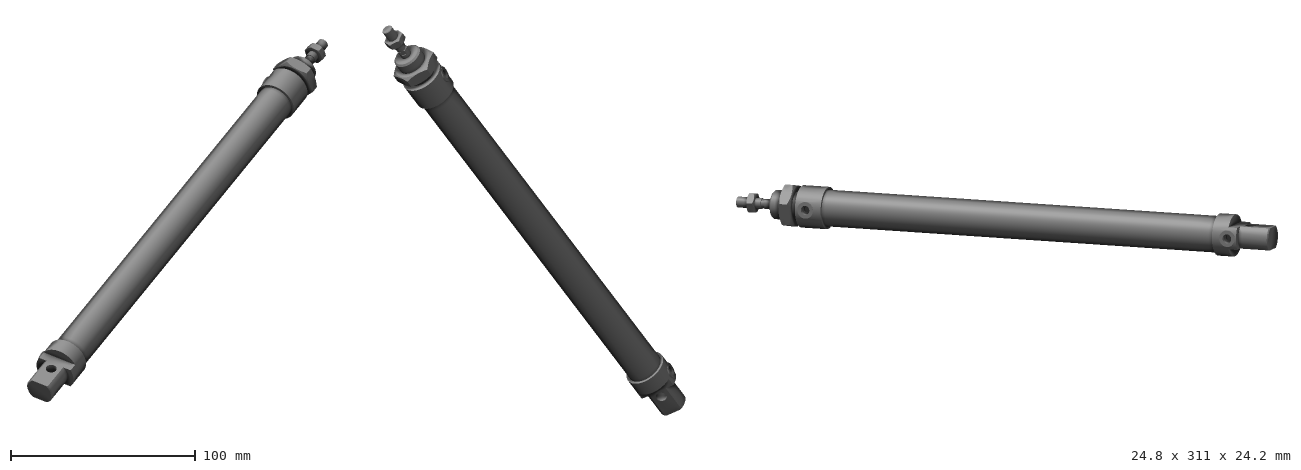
import cadquery as cq
import math

total_length = 311.0

barrel_diameter = 20.0
cap_diameter = 23.0
rear_cap_front = 31.0
front_cap_rear = 258.5
front_cap_front = 273.5

neck_diameter = 16.0
neck_front = 290.0
neck_chamfer = 1.0

tongue_thickness = 12.0
shoulder_rear = 17.0
step_front = 22.0
clevis_hole_diameter = 6.0
clevis_hole_y = 13.0
tongue_chamfer = 0.5

port_positions = (22.5, 267.5)
port_boss_diameter = 9.0
port_face_x = cap_diameter / 2
port_diameter = 5.0
port_depth = 3.7
port_bore_diameter = 4.5
port_bore_depth = 5.5

rod_diameter = 6.0
rod_inner_end = front_cap_rear
rod_tip_chamfer = 0.3
undercut_diameter = 5.0
undercut_front = 296.7
undercut_rear = 294.8
flats_rear = 292.3
flats_width = 5.0

mounting_nut_width = 22.0
mounting_nut_rear = 276.5
mounting_nut_thickness = 6.8
mounting_nut_turn = -12.3
mounting_nut_face_diameter = 21.0
rod_nut_width = 10.0
rod_nut_rear = 300.0
rod_nut_thickness = 4.0
rod_nut_turn = -6.0
rod_nut_face_diameter = 10.0

HALF_FACE_ANGLE = 30.0
BEVEL_ANGLE = 30.0


def cylinder(diameter, rear, front):
    """Solid cylinder on the Y axis between two Y positions."""
    return cq.Workplane("XZ", origin=(0, rear, 0)).circle(diameter / 2).extrude(rear - front)


def flats_cutter(width, rear, front):
    """Two blocks that leave material only within +/- width / 2 in Z."""
    length = front - rear
    middle = (rear + front) / 2
    clearance_width = 2 * cap_diameter
    envelope = cq.Workplane("XY").box(clearance_width, length, clearance_width)
    kept = cq.Workplane("XY").box(clearance_width, length, width)
    return envelope.cut(kept).translate((0, middle, 0))


def port_cylinder(diameter, y, depth):
    """Cylinder along X, from the port face inward to the given depth."""
    return cq.Workplane("YZ", origin=(-port_face_x, y, 0)).circle(diameter / 2).extrude(depth)


def add_port(housing, y):
    """Flat round boss on the -X side of a cap, with a port and a narrower bore."""
    with_boss = housing.union(port_cylinder(port_boss_diameter, y, port_depth))
    with_port = with_boss.cut(port_cylinder(port_diameter, y, port_depth))
    return with_port.cut(port_cylinder(port_bore_diameter, y, port_bore_depth))


def make_housing():
    """Barrel with both caps, the front neck and the rear clevis tongue."""
    tongue = cylinder(neck_diameter, 0, step_front).faces("<Y").chamfer(tongue_chamfer)
    neck = cylinder(neck_diameter, front_cap_front, neck_front).faces(">Y").chamfer(neck_chamfer)
    housing = (
        cylinder(barrel_diameter, rear_cap_front, front_cap_rear)
        .union(cylinder(cap_diameter, shoulder_rear, rear_cap_front))
        .union(cylinder(cap_diameter, front_cap_rear, front_cap_front))
        .union(tongue)
        .union(neck)
    )
    housing = housing.cut(flats_cutter(tongue_thickness, 0, step_front))
    clevis_hole = (
        cq.Workplane("XY")
        .center(0, clevis_hole_y)
        .circle(clevis_hole_diameter / 2)
        .extrude(tongue_thickness, both=True)
    )
    housing = housing.cut(clevis_hole)
    for y in port_positions:
        housing = add_port(housing, y)
    return housing.cut(cylinder(rod_diameter, rod_inner_end, neck_front))


def make_rod():
    """Piston rod with wrench flats, a thread undercut and a plain cylindrical tip."""
    rod = cylinder(rod_diameter, rod_inner_end, total_length).faces(">Y").chamfer(rod_tip_chamfer)
    undercut = cylinder(rod_diameter, undercut_rear, undercut_front).cut(
        cylinder(undercut_diameter, undercut_rear, undercut_front)
    )
    return rod.cut(undercut).cut(flats_cutter(flats_width, flats_rear, undercut_rear))


def make_nut(width, thickness, rear, turn, bore_diameter, face_diameter):
    """Hexagon nut on the Y axis with both faces bevelled at the corners."""
    corner_diameter = width / math.cos(math.radians(HALF_FACE_ANGLE))
    corner_radius = corner_diameter / 2
    face_radius = face_diameter / 2
    bevel = (corner_radius - face_radius) * math.tan(math.radians(BEVEL_ANGLE))
    front = rear + thickness
    hexagon = cq.Workplane("XZ", origin=(0, rear, 0)).polygon(6, corner_diameter).extrude(-thickness)
    bevelled_disc = (
        cq.Workplane("XY")
        .moveTo(0, rear)
        .lineTo(face_radius, rear)
        .lineTo(corner_radius, rear + bevel)
        .lineTo(corner_radius, front - bevel)
        .lineTo(face_radius, front)
        .lineTo(0, front)
        .close()
        .revolve(360, (0, 0, 0), (0, 1, 0))
    )
    turned = hexagon.rotate((0, 0, 0), (0, 1, 0), -turn)
    return turned.intersect(bevelled_disc).cut(cylinder(bore_diameter, rear, front))


housing = make_housing()
rod = make_rod()
mounting_nut = make_nut(
    mounting_nut_width, mounting_nut_thickness, mounting_nut_rear,
    mounting_nut_turn, neck_diameter, mounting_nut_face_diameter,
)
rod_nut = make_nut(
    rod_nut_width, rod_nut_thickness, rod_nut_rear,
    rod_nut_turn, rod_diameter, rod_nut_face_diameter,
)

result = cq.Compound.makeCompound([housing.val(), rod.val(), mounting_nut.val(), rod_nut.val()])